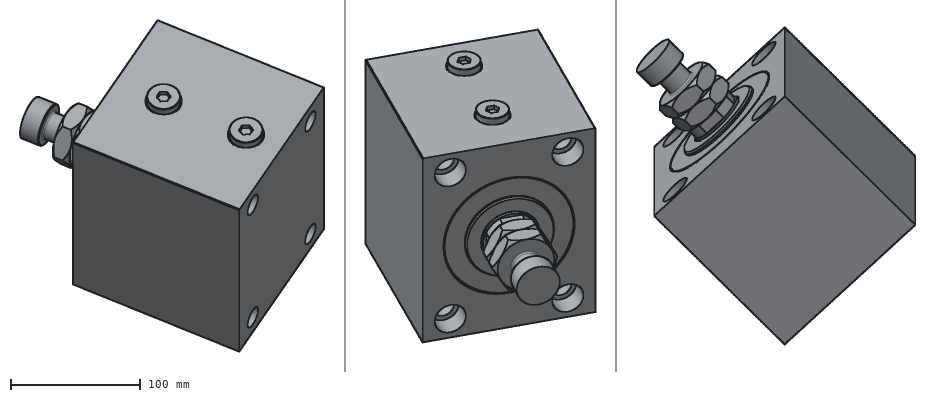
import cadquery as cq
import math


HOUSING_LENGTH = 145.0
HOUSING_WIDTH = 140.0
HOUSING_HEIGHT = 170.0
TOP_EDGE_CHAMFER = 0.7

BOLT_SPACING_Y = 95.0
BOLT_SPACING_Z = 135.0
BOLT_HOLE_DIAMETER = 17.0
COUNTERBORE_DIAMETER = 25.2
COUNTERBORE_DEPTH = 18.0

GLAND_DIAMETER = 104.2
GLAND_DEPTH = 30.7
GLAND_SEAT_CHAMFER = 1.0
BOSS_DIAMETER = 72.0
BOSS_HEIGHT = 3.0
BOSS_CHAMFER_LENGTH = 1.5
BOSS_CHAMFER_RADIAL = 1.0
BORE_CHAMFER = 1.3

ROD_DIAMETER = 45.0
ROD_PROTRUSION = 4.5
ROD_END_DIAMETER = 44.0
ROD_END_LENGTH = 9.2
ROD_FLAT_WIDTH = 40.0

HEX_ACROSS_FLATS = 46.0
HEX_LENGTH = 14.5
HEX_FACE_DIAMETER = 45.8
HEX_COUNT = 2
NECK_DIAMETER = 22.1
NECK_FILLET = 1.3
HEAD_DIAMETER = 34.8
HEAD_LENGTH = 16.2
HEAD_CHAMFER = 0.7
OVERALL_LENGTH = 219.0

PLUG_POSITIONS_X = (42.0, 113.9)
PLUG_DIAMETER = 25.8
PLUG_PROTRUSION = 5.0
PLUG_CHAMFER = 0.5
SPOTFACE_DIAMETER = 28.0
SPOTFACE_DEPTH = 1.0
SOCKET_ACROSS_FLATS = 9.5
SOCKET_DEPTH = 3.5

TOP_Z = HOUSING_HEIGHT / 2
HEAD_FRONT_X = HOUSING_LENGTH - OVERALL_LENGTH
HEAD_REAR_X = HEAD_FRONT_X + HEAD_LENGTH
ROD_SHOULDER_X = -ROD_PROTRUSION
ROD_FRONT_X = ROD_SHOULDER_X - ROD_END_LENGTH
HEX_FRONT_X = ROD_FRONT_X - HEX_COUNT * HEX_LENGTH


def cylinder_x(diameter, start, end):
    """Cylinder on the X axis from X = start to X = end."""
    return cq.Workplane("YZ", origin=(start, 0, 0)).circle(diameter / 2).extrude(end - start)


def cone_x(start_diameter, end_diameter, start, end):
    """Truncated cone on the X axis from X = start to X = end."""
    start_circle = cq.Workplane("YZ", origin=(start, 0, 0)).circle(start_diameter / 2)
    return start_circle.workplane(offset=end - start).circle(end_diameter / 2).loft()


def across_corners(across_flats):
    return across_flats / math.cos(math.radians(30))


def chamfered_hexagon(start):
    """Hexagon on the X axis with corners at +Y and -Y and both ends turned to a 45 degree cone."""
    corner_diameter = across_corners(HEX_ACROSS_FLATS)
    prism = cq.Workplane("YZ", origin=(start, 0, 0)).polygon(6, corner_diameter).extrude(HEX_LENGTH)
    turned_envelope = cylinder_x(corner_diameter, start, start + HEX_LENGTH).edges().chamfer(
        (corner_diameter - HEX_FACE_DIAMETER) / 2
    )
    return prism.intersect(turned_envelope)


def bolt_pattern(diameter, depth):
    """Four cylinders at the bolt positions, from the front face to the given depth."""
    return (
        cq.Workplane("YZ")
        .rect(BOLT_SPACING_Y, BOLT_SPACING_Z, forConstruction=True)
        .vertices()
        .circle(diameter / 2)
        .extrude(depth)
    )


def make_housing():
    block = (
        cq.Workplane("XY")
        .box(HOUSING_LENGTH, HOUSING_WIDTH, HOUSING_HEIGHT, centered=(False, True, True))
        .edges("|X and >Z")
        .chamfer(TOP_EDGE_CHAMFER)
    )

    bolt_holes = bolt_pattern(BOLT_HOLE_DIAMETER, HOUSING_LENGTH)
    counterbores = bolt_pattern(COUNTERBORE_DIAMETER, COUNTERBORE_DEPTH)
    gland_seat = cylinder_x(GLAND_DIAMETER, 0, GLAND_DEPTH)
    seat_rim = cone_x(GLAND_DIAMETER + 2 * GLAND_SEAT_CHAMFER, GLAND_DIAMETER, 0, GLAND_SEAT_CHAMFER)

    spotfaces = (
        cq.Workplane("XY", origin=(0, 0, TOP_Z - SPOTFACE_DEPTH))
        .pushPoints([(x, 0) for x in PLUG_POSITIONS_X])
        .circle(SPOTFACE_DIAMETER / 2)
        .extrude(SPOTFACE_DEPTH)
    )
    return block.cut(bolt_holes).cut(counterbores).cut(gland_seat).cut(seat_rim).cut(spotfaces)


def make_gland():
    body = cylinder_x(GLAND_DIAMETER, 0, GLAND_DEPTH)
    boss = cylinder_x(BOSS_DIAMETER, -BOSS_HEIGHT, 0)
    boss = boss.faces("<X").chamfer(BOSS_CHAMFER_LENGTH, BOSS_CHAMFER_RADIAL)
    bore = cylinder_x(ROD_DIAMETER, -BOSS_HEIGHT, GLAND_DEPTH)
    bore_rim = cone_x(ROD_DIAMETER + 2 * BORE_CHAMFER, ROD_DIAMETER, -BOSS_HEIGHT, BORE_CHAMFER - BOSS_HEIGHT)
    return body.union(boss).cut(bore).cut(bore_rim)


def make_rod():
    shank = cylinder_x(ROD_DIAMETER, ROD_SHOULDER_X, GLAND_DEPTH)
    end = cylinder_x(ROD_END_DIAMETER, ROD_FRONT_X, ROD_SHOULDER_X)
    square = cq.Workplane("YZ", origin=(ROD_FRONT_X, 0, 0)).rect(ROD_FLAT_WIDTH, ROD_FLAT_WIDTH)
    return shank.union(end.intersect(square.extrude(ROD_END_LENGTH)))


def make_coupling():
    head = cylinder_x(HEAD_DIAMETER, HEAD_FRONT_X, HEAD_REAR_X).faces(">X").chamfer(HEAD_CHAMFER)
    neck = cylinder_x(NECK_DIAMETER, HEAD_REAR_X, HEX_FRONT_X)
    coupling = head.union(neck)
    for index in range(HEX_COUNT):
        coupling = coupling.union(chamfered_hexagon(HEX_FRONT_X + index * HEX_LENGTH))
    neck_ends = cq.selectors.RadiusNthSelector(0)
    return coupling.edges("%CIRCLE").edges(neck_ends).fillet(NECK_FILLET)


def make_plug(x):
    floor_z = TOP_Z - SPOTFACE_DEPTH
    plug = (
        cq.Workplane("XY", origin=(x, 0, floor_z))
        .circle(PLUG_DIAMETER / 2)
        .extrude(SPOTFACE_DEPTH + PLUG_PROTRUSION)
        .faces(">Z")
        .chamfer(PLUG_CHAMFER)
    )
    socket = (
        cq.Workplane("XY", origin=(x, 0, TOP_Z + PLUG_PROTRUSION))
        .transformed(rotate=(0, 0, 90))
        .polygon(6, across_corners(SOCKET_ACROSS_FLATS))
        .extrude(-SOCKET_DEPTH)
    )
    return plug.cut(socket)


housing = make_housing()
gland = make_gland()
rod = make_rod()
coupling = make_coupling()
plugs = [make_plug(x) for x in PLUG_POSITIONS_X]

result = cq.Compound.makeCompound(
    [housing.val(), gland.val(), rod.val(), coupling.val(), *[plug.val() for plug in plugs]]
)